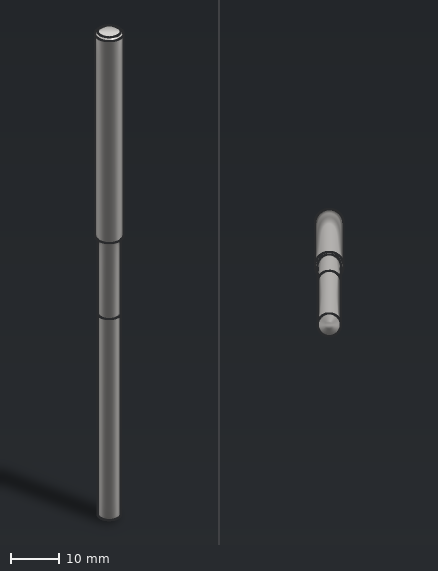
import cadquery as cq
import math

overall_length = 118.9
shank_diameter = 6.0
shank_length = 49.9
shank_chamfer = 0.6
drill_diameter = 4.9
point_angle = 140.0
cutting_length = 50.0

shank_radius = shank_diameter / 2
drill_radius = drill_diameter / 2
point_height = drill_radius / math.tan(math.radians(point_angle / 2))
shoulder_z = overall_length - shank_length


def make_cutting_part():
    """Cylindrical cutting length with a conical point at its lower end."""
    half_profile = (
        cq.Workplane("XZ")
        .moveTo(0, 0)
        .lineTo(drill_radius, point_height)
        .lineTo(drill_radius, cutting_length)
        .lineTo(0, cutting_length)
        .close()
    )
    return half_profile.revolve(360, (0, 0, 0), (0, 1, 0))


def make_shank():
    """Neck of the drill diameter below a thicker shank with a chamfered top."""
    neck_length = shoulder_z - cutting_length
    neck = cq.Workplane("XY").workplane(offset=cutting_length).circle(drill_radius).extrude(neck_length)
    grip = cq.Workplane("XY").workplane(offset=shoulder_z).circle(shank_radius).extrude(shank_length)
    grip = grip.faces(">Z").chamfer(shank_chamfer)
    return neck.union(grip)


cutting_part = make_cutting_part()
shank = make_shank()

result = cq.Compound.makeCompound([cutting_part.val(), shank.val()])